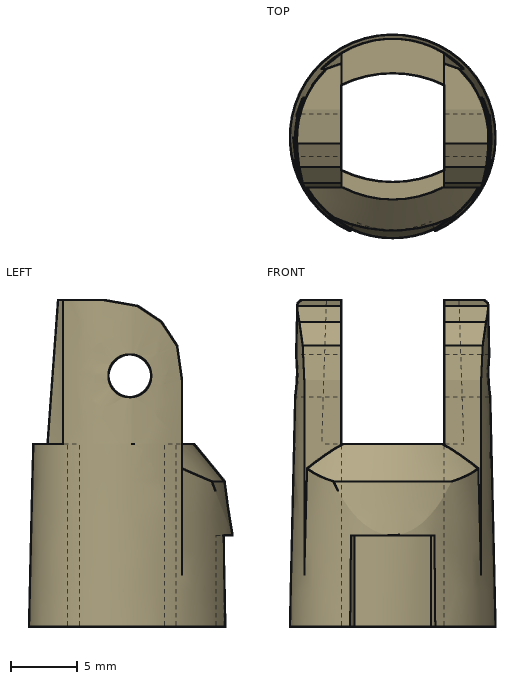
import cadquery as cq
import math

height = 24.7
base_radius = 7.78
top_radius = 7.21
floor_height = 13.83

slot_half_width = 3.88
arm_front = 3.8
side_foot_height = 3.95
back_corner = 5.19
back_inner_top = 5.58
nose_corners = [
    (2.07, height),
    (-0.45, 24.25),
    (-2.25, 23.05),
    (-3.43, 21.25),
    (-arm_front, 18.65),
]
pin_radius = 1.6
pin_y = 0.15
pin_height = 18.97

lip_axis_y = 3.58
lip_top_reach = 4.7
lip_edge_reach = 7.05
lip_edge_height = 11.0

bore_back = 4.85
bore_front = 3.35
bore_sag = 0.9

notch_height = 6.92
notch_half_width = 3.19
notch_floor_radius = 7.0


def cone_radius(z):
    return base_radius + (top_radius - base_radius) * z / height


def frustum(bottom, top):
    profile = [(0, bottom), (cone_radius(bottom), bottom), (cone_radius(top), top), (0, top)]
    return cq.Workplane("XZ").polyline(profile).close().revolve(360, (0, 0), (0, 1))


def side_section(z):
    """Front half of an arm, bowed outward to a fixed front corner."""
    side = cone_radius(z)
    corner_x = math.sqrt(cone_radius(side_foot_height) ** 2 - arm_front ** 2)
    bow_depth = side - corner_x
    bow_radius = (arm_front ** 2 + bow_depth ** 2) / (2 * bow_depth)
    half_angle = math.asin(arm_front / bow_radius) / 2
    middle = (
        side - bow_radius * (1 - math.cos(half_angle)),
        -bow_radius * math.sin(half_angle),
    )
    outline = cq.Workplane("XY", origin=(0, 0, z)).moveTo(slot_half_width, 0).lineTo(side, 0)
    outline = outline.threePointArc(middle, (corner_x, -arm_front))
    return outline.lineTo(slot_half_width, -arm_front).close()


def back_section(z, inner_y):
    """Back half of an arm, following the cone up to its outer back corner."""
    radius = cone_radius(z)
    half_angle = math.asin(back_corner / radius) / 2
    middle = (radius * math.cos(half_angle), radius * math.sin(half_angle))
    corner = (math.sqrt(radius ** 2 - back_corner ** 2), back_corner)
    outline = cq.Workplane("XY", origin=(0, 0, z)).moveTo(slot_half_width, 0).lineTo(radius, 0)
    outline = outline.threePointArc(middle, corner)
    return outline.lineTo(slot_half_width, inner_y).close().val()


def loft(lower, upper):
    return cq.Workplane(cq.Solid.makeLoft([lower, upper], True))


def nose_envelope():
    """Side outline with flats rounding the upper front corner."""
    points = [(base_radius, 0), (base_radius, height), *nose_corners, (-arm_front, 0)]
    return cq.Workplane("YZ").polyline(points).close().extrude(base_radius, both=True)


def make_arms():
    back_inner_foot = math.sqrt(cone_radius(floor_height) ** 2 - slot_half_width ** 2)
    floor_section = side_section(floor_height)
    front = loft(floor_section.val(), side_section(height).val())
    foot = floor_section.extrude(side_foot_height - floor_height)
    back = loft(
        back_section(floor_height, back_inner_foot),
        back_section(height, back_inner_top),
    )
    arm = front.union(foot).union(back).intersect(nose_envelope())
    pin_hole = (
        cq.Workplane("YZ")
        .center(pin_y, pin_height)
        .circle(pin_radius)
        .extrude(base_radius, both=True)
    )
    arm = arm.cut(pin_hole)
    return arm.union(arm.mirror("YZ"))


def make_body():
    """Tapered body whose front, ahead of the arms, is trimmed to the bevelled lip."""
    body = frustum(0, floor_height)
    lip_profile = [
        (0, notch_height),
        (lip_axis_y + cone_radius(notch_height), notch_height),
        (lip_axis_y + lip_edge_reach, lip_edge_height),
        (lip_axis_y + lip_top_reach, floor_height),
        (0, floor_height),
    ]
    lip = (
        cq.Workplane("XZ", origin=(0, lip_axis_y, 0))
        .polyline(lip_profile)
        .close()
        .revolve(360, (0, 0), (0, 1))
    )
    front_zone = (
        cq.Workplane("XY", origin=(0, -arm_front - base_radius, notch_height))
        .rect(2 * base_radius, 2 * base_radius)
        .extrude(floor_height - notch_height)
    )
    return body.cut(front_zone.cut(lip))


def make_bore():
    outline = cq.Workplane("XY").moveTo(-slot_half_width, bore_sag - bore_front)
    outline = outline.threePointArc((0, -bore_front), (slot_half_width, bore_sag - bore_front))
    outline = outline.lineTo(slot_half_width, bore_back - bore_sag)
    outline = outline.threePointArc((0, bore_back), (-slot_half_width, bore_back - bore_sag))
    return outline.close().extrude(floor_height)


def make_notch():
    """Recess with radial side walls and a cylindrical floor."""
    reach = 2 * base_radius
    half_angle = math.asin(notch_half_width / cone_radius(notch_height / 2))
    half_width = reach * math.tan(half_angle)
    wedge = (
        cq.Workplane("XY")
        .polyline([(0, 0), (-half_width, -reach), (half_width, -reach)])
        .close()
        .extrude(notch_height)
    )
    core = cq.Workplane("XY").circle(notch_floor_radius).extrude(notch_height)
    return wedge.cut(core)


result = make_body().union(make_arms()).cut(make_bore()).cut(make_notch())